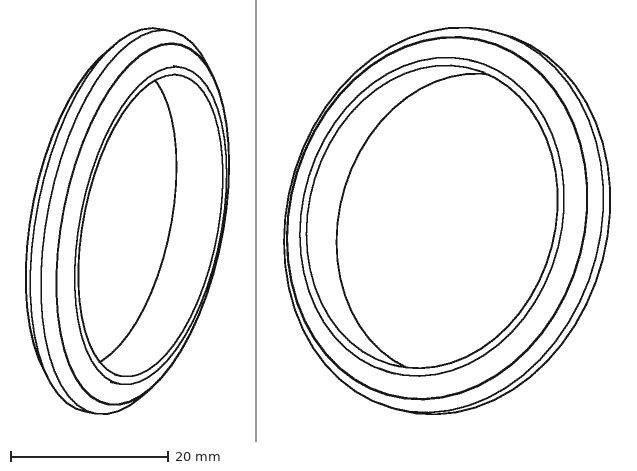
import cadquery as cq

hub_width = 6.7
bore_radius = 39.0 / 2
hub_radius = 41.0 / 2

rim_radius = 49.6 / 2
rim_width = 4.4
bevel = 1.45

web_width = 3.0
lip_width = 0.1
groove_fillet = 0.4
selection_margin = 0.005

hub_half = hub_width / 2
rim_half = rim_width / 2
web_half = web_width / 2
lip_outer_radius = rim_radius - bevel
lip_inner_radius = lip_outer_radius - lip_width
groove_outer_radius = lip_inner_radius - (rim_half - web_half)


def revolve_about_x(profile):
    """Revolve an (axial, radial) profile fully around the X axis."""
    return profile.close().revolve(360, (0, 0, 0), (1, 0, 0))


def ring_body():
    """Bored hub with the beveled rim, before the grooves are cut."""
    profile = (
        cq.Workplane("XY")
        .moveTo(-hub_half, bore_radius)
        .lineTo(hub_half, bore_radius)
        .lineTo(hub_half, hub_radius)
        .lineTo(rim_half, hub_radius)
        .lineTo(rim_half, lip_outer_radius)
        .lineTo(rim_half - bevel, rim_radius)
        .lineTo(bevel - rim_half, rim_radius)
        .lineTo(-rim_half, lip_outer_radius)
        .lineTo(-rim_half, hub_radius)
        .lineTo(-hub_half, hub_radius)
    )
    return revolve_about_x(profile)


def groove_cutter(side):
    """Groove cutter for the -X (side = -1) or +X (side = 1) face, floor corners rounded."""
    profile = (
        cq.Workplane("XY")
        .moveTo(side * rim_half, hub_radius)
        .lineTo(side * web_half, hub_radius)
        .lineTo(side * web_half, groove_outer_radius)
        .lineTo(side * rim_half, lip_inner_radius)
    )
    floor_edges = cq.selectors.BoxSelector(
        (side * web_half - selection_margin, -rim_radius, -rim_radius),
        (side * web_half + selection_margin, rim_radius, rim_radius),
        boundingbox=True,
    )
    return revolve_about_x(profile).edges(floor_edges).fillet(groove_fillet)


result = ring_body()
for side in (-1, 1):
    result = result.cut(groove_cutter(side))